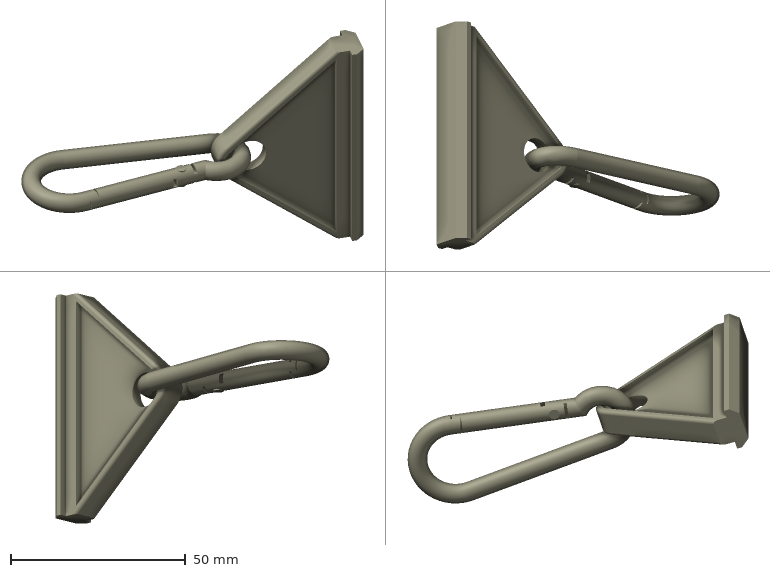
import cadquery as cq
import math

rail_length = 65.0
head_width = 12.5
head_crown_width = 8.3
head_thickness = 4.0
head_bevel_depth = 2.5
plate_thickness = 8.0
plate_shoulder_depth = 8.0
plate_edge_angle = 40.0
nose_radius = 6.5
nose_tip_y = -43.3
plate_edge_fillet = 1.0
recess_depth = 2.3
recess_margin = 1.9
recess_floor_fillet = 1.0
eye_radius = 5.0
eye_y = -33.3

wire_radius = 2.8
small_bend_radius = 7.1
small_bend_y = -42.5
large_bend_radius = 10.9
large_bend_y = -100.0 + large_bend_radius + wire_radius
small_bend_end_angle = -43.0

pivot_shoulder = 3.6
pivot_gap = 0.9
gate_start = pivot_shoulder + pivot_gap
pin_station = 7.6
pin_radius = 1.5
pivot_tongue_end = 9.8
pivot_slot_end = 11.2
gate_end = 34.2
latch_opening = 0.9
latch_tongue_length = 2.6
latch_slot_clearance = 0.4
tongue_thickness = 2.8


def polar(center, radius, angle):
    """Point at an angle in degrees on a circle in the XY plane."""
    turn = math.radians(angle)
    return (center[0] + radius * math.cos(turn), center[1] + radius * math.sin(turn))


small_center = (0.0, small_bend_y)
large_center = (0.0, large_bend_y)
arm_lean = math.degrees(math.asin((large_bend_radius - small_bend_radius) / (small_bend_y - large_bend_y)))
arm_angle = 180.0 - arm_lean
arm_top = polar(small_center, small_bend_radius, arm_angle)
arm_bottom = polar(large_center, large_bend_radius, arm_angle)
kink = polar(small_center, small_bend_radius, small_bend_end_angle)

kink_distance = math.hypot(kink[0] - large_center[0], kink[1] - large_center[1])
kink_bearing = math.degrees(math.atan2(kink[1] - large_center[1], kink[0] - large_center[0]))
tangent_angle = kink_bearing - math.degrees(math.acos(large_bend_radius / kink_distance))
gate_tangent = polar(large_center, large_bend_radius, tangent_angle)

gate_frame = cq.Plane(
    origin=(*kink, 0.0),
    xDir=(gate_tangent[0] - kink[0], gate_tangent[1] - kink[1], 0.0),
    normal=(0.0, 0.0, 1.0),
)


def gate_block(start, end, height):
    """Block along the gate axis, wider than the wire and centered on it."""
    return (
        cq.Workplane(gate_frame)
        .center((start + end) / 2, 0)
        .rect(end - start, 4 * wire_radius)
        .extrude(height / 2, both=True)
    )


def gate_rod(start, end):
    """Round rod of wire size along the gate axis."""
    rod = cq.Solid.makeCylinder(
        wire_radius,
        end - start,
        gate_frame.toWorldCoords((start, 0, 0)),
        gate_frame.xDir,
    )
    return cq.Workplane(obj=rod)


def gate_pin(length):
    """Upright pivot pin through the gate."""
    return (
        cq.Workplane(gate_frame)
        .center(pin_station, 0)
        .circle(pin_radius)
        .extrude(length / 2, both=True)
    )


def make_loop():
    """Wire loop from the pivot shoulder around to the latch, with plain ends."""
    shoulder = gate_frame.toWorldCoords((pivot_shoulder, 0, 0)).toTuple()[:2]
    latch = gate_frame.toWorldCoords((gate_end, 0, 0)).toTuple()[:2]
    path = (
        cq.Workplane("XY")
        .moveTo(*shoulder)
        .lineTo(*kink)
        .threePointArc(polar(small_center, small_bend_radius, 90), arm_top)
        .lineTo(*arm_bottom)
        .threePointArc(polar(large_center, large_bend_radius, -90), gate_tangent)
        .lineTo(*latch)
    )
    section = cq.Plane(origin=(*shoulder, 0), xDir=(0, 0, 1), normal=gate_frame.xDir * -1)
    return cq.Workplane(section).circle(wire_radius).sweep(path, transition="right")


def make_hook(loop):
    """Loop with a pivot tongue at one end and a slotted, slanted latch at the other."""
    tongue = gate_rod(pivot_shoulder, pivot_tongue_end).intersect(
        gate_block(pivot_shoulder, pivot_tongue_end, tongue_thickness)
    )
    tongue = tongue.cut(gate_pin(4 * wire_radius))
    latch_slant = (
        cq.Workplane(gate_frame)
        .polyline([
            (gate_end, wire_radius),
            (gate_end, -wire_radius),
            (gate_end + latch_opening, -wire_radius),
        ])
        .close()
        .extrude(2 * wire_radius, both=True)
    )
    latch_slot_end = gate_end + latch_tongue_length + latch_slot_clearance
    latch_slot = gate_block(gate_end, latch_slot_end, tongue_thickness)
    return loop.union(tongue).cut(latch_slant).cut(latch_slot)


def make_gate():
    """Forked rod with its pivot pin and a flat tongue for the latch."""
    fork_slot = gate_block(gate_start, pivot_slot_end, tongue_thickness)
    tongue_end = gate_end + latch_tongue_length
    latch_tongue = gate_rod(gate_end, tongue_end).intersect(
        gate_block(gate_end, tongue_end, tongue_thickness)
    )
    return (
        gate_rod(gate_start, gate_end)
        .cut(fork_slot)
        .union(latch_tongue)
        .union(gate_pin(2 * wire_radius))
    )


def web_outline(inset, back_y):
    """Closed YZ outline of the web, inset from its sloped edges and nose."""
    lean = math.radians(plate_edge_angle)
    nose_center_y = nose_tip_y + nose_radius
    radius = nose_radius - inset
    nose_y = nose_center_y - radius * math.sin(lean)
    nose_z = radius * math.cos(lean)
    back_z = nose_z + (back_y - nose_y) * math.tan(lean)
    return (
        cq.Workplane("YZ")
        .moveTo(back_y, -back_z)
        .lineTo(nose_y, -nose_z)
        .threePointArc((nose_center_y - radius, 0), (nose_y, nose_z))
        .lineTo(back_y, back_z)
        .close()
    )


def make_plate(loop):
    """Rail and web, with side recesses, the eye and a seat for the wire."""
    half_rail = rail_length / 2
    rail = (
        cq.Workplane("XY")
        .polyline([
            (-head_crown_width / 2, 0),
            (head_crown_width / 2, 0),
            (head_width / 2, -head_bevel_depth),
            (head_width / 2, -head_thickness),
            (-head_width / 2, -head_thickness),
            (-head_width / 2, -head_bevel_depth),
        ])
        .close()
        .extrude(half_rail, both=True)
    )
    web = web_outline(0, -head_thickness).extrude(plate_thickness / 2, both=True)
    front_edges = cq.selectors.BoxSelector(
        (-plate_thickness, nose_tip_y - 1, -rail_length),
        (plate_thickness, -head_thickness - 1, rail_length),
    )
    web = web.faces("<X or >X").edges(front_edges).fillet(plate_edge_fillet)
    web = web.intersect(cq.Workplane("XY").box(2 * head_width, 2 * rail_length, rail_length))
    plate = rail.union(web)
    recess = web_outline(recess_margin, -plate_shoulder_depth).extrude(recess_depth)
    recess = recess.faces("<X").edges("not |Z").fillet(recess_floor_fillet)
    recess = recess.translate((plate_thickness / 2 - recess_depth, 0, 0))
    plate = plate.cut(recess).cut(recess.mirror("YZ"))
    eye = (
        cq.Workplane("YZ")
        .center(eye_y, 0)
        .circle(eye_radius)
        .extrude(plate_thickness, both=True)
    )
    return plate.cut(eye).cut(loop)


loop = make_loop()
hook = make_hook(loop)
gate = make_gate()
plate = make_plate(loop)

result = cq.Compound.makeCompound([plate.solids().val(), hook.solids().val(), gate.solids().val()])